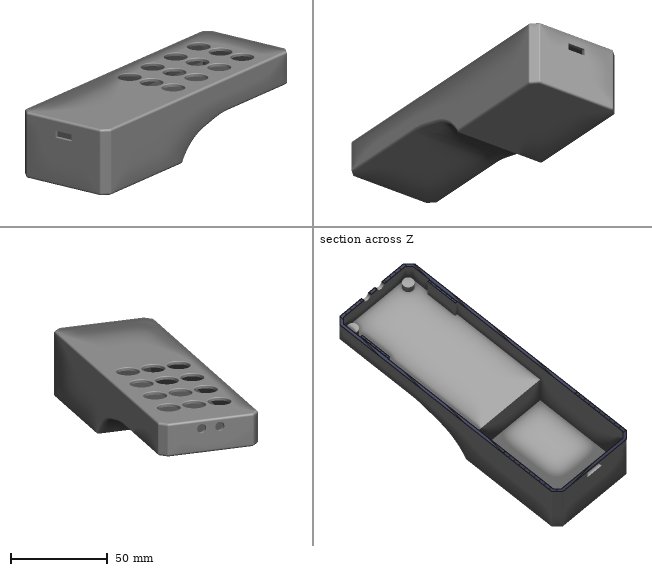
import cadquery as cq
import math

length = 161.25
width = 55.25
height = 36.0
wall = 2.0
lid_thickness = 1.75
corner_cut = 4.0
edge_radius = 1.25
corner_radius = 1.0

seam_z = 24.0
grip_z = 18.0
lid_split_y = -41.25
front_y = -length / 2
rear_y = length / 2
ceiling_z = height - lid_thickness
grip_floor_z = grip_z + wall
inner_front_y = front_y + wall
inner_side_x = width / 2 - wall

curve_bottom = (-14.25, 0.0)
curve_points = [(-8.0, 7.5), (0.0, 12.6), (11.5, 15.9)]
curve_top = (23.4, grip_z)
curve_bottom_angle = math.radians(58)
curve_top_angle = math.radians(5)

button_diameter = 12.02
button_rim_radius = 0.5
button_pitch_x = 14.0
button_pitch_y = 20.0
button_columns = 3
button_rows = 4
button_field_y = 26.0

slot_width = 10.25
slot_height = 3.75
slot_bottom_z = 26.0

window_diameter = 5.0
window_spacing = 10.0
window_z = 31.3

battery_pocket_rear_y = curve_bottom[0] - wall
post_diameter = 6.52
post_x = 20.5
post_y = 74.0
pad_thickness = 1.5
pad_length = 20.0
pad_y = 53.75


def box_between(x_limits, y_limits, z_limits):
    """Box spanning the given (low, high) limits along each axis."""
    limits = (x_limits, y_limits, z_limits)
    corner = tuple(low for low, high in limits)
    size = [high - low for low, high in limits]
    return cq.Workplane("XY").box(*size, centered=False).translate(corner)


def case_section(y_limits, z_limits):
    """Full-width box that cuts the case into its bodies."""
    return box_between((-width / 2, width / 2), y_limits, z_limits)


def plan_block(inset, bottom_z, top_z):
    """Block with the plan of the case, its sides moved inward by the inset."""
    cut = corner_cut - inset * (2 - math.sqrt(2))
    block = cq.Workplane("XY", origin=(0, 0, bottom_z))
    block = block.rect(width - 2 * inset, length - 2 * inset).extrude(top_z - bottom_z)
    return block.edges("|Z").chamfer(cut)


def direction(angle):
    return (math.cos(angle), math.sin(angle))


def is_lower_outline(edge):
    """True for an edge around the underside, but not for one that crosses it from side to side."""
    tolerance = 0.01
    end_z = max(edge.startPoint().z, edge.endPoint().z)
    crosses = edge.BoundingBox().xlen > width - corner_cut
    return end_z < grip_z + tolerance and not crosses


def make_envelope():
    """Solid outer form of the closed case, with rounded edges."""
    side_profile = (
        cq.Workplane("YZ", origin=(-width / 2, 0, 0))
        .moveTo(front_y, 0)
        .lineTo(*curve_bottom)
        .spline(
            [*curve_points, curve_top],
            tangents=[direction(curve_bottom_angle), direction(curve_top_angle)],
            includeCurrent=True,
        )
        .lineTo(rear_y, grip_z)
        .lineTo(rear_y, height)
        .lineTo(front_y, height)
        .close()
        .extrude(width)
    )
    block = plan_block(0, 0, height).edges("|Z").fillet(corner_radius)
    body = side_profile.intersect(block)
    body = body.faces(">Z").edges().fillet(edge_radius)
    lower_edges = [edge for edge in body.edges().vals() if is_lower_outline(edge)]
    return body.newObject(lower_edges).fillet(edge_radius)


def make_base(envelope):
    """Lower shell: shallow over the grip, deep in the battery section, with corner posts and side pads."""
    base = envelope.intersect(case_section((front_y, rear_y), (0, seam_z)))
    base = base.cut(plan_block(wall, grip_floor_z, seam_z))
    battery_zone = case_section((front_y, battery_pocket_rear_y), (0, seam_z))
    base = base.cut(plan_block(wall, wall, seam_z).intersect(battery_zone))
    for side in (-1, 1):
        post = cq.Workplane("XY", origin=(side * post_x, post_y, grip_floor_z))
        base = base.union(post.circle(post_diameter / 2).extrude(seam_z - grip_floor_z))
        pad_x = side * (inner_side_x - pad_thickness / 2)
        pad = cq.Workplane("XY", origin=(pad_x, pad_y, grip_floor_z))
        base = base.union(pad.rect(pad_thickness, pad_length).extrude(ceiling_z - grip_floor_z))
    return base


def make_lid_shell(envelope, y_limits):
    """Part of the hollow upper half of the case between two places along Y."""
    shell = envelope.intersect(case_section(y_limits, (seam_z, height)))
    return shell.cut(plan_block(wall, seam_z, ceiling_z))


def make_button_lid(envelope):
    """Long lid with a grid of round-rimmed button holes and two windows in its rear wall."""
    lid = make_lid_shell(envelope, (lid_split_y, rear_y))
    lid = (
        lid.cut(
            cq.Workplane("XY", origin=(0, button_field_y, ceiling_z))
            .rarray(button_pitch_x, button_pitch_y, button_columns, button_rows)
            .circle(button_diameter / 2)
            .extrude(lid_thickness)
        )
        .faces(">Z")
        .edges("%CIRCLE")
        .fillet(button_rim_radius)
    )
    windows = (
        cq.Workplane("XZ", origin=(0, rear_y, window_z))
        .rarray(window_spacing, 1, 2, 1)
        .circle(window_diameter / 2)
        .extrude(wall)
    )
    return lid.cut(windows)


def make_battery_lid(envelope):
    """Short lid with the cable slot through its front wall."""
    lid = make_lid_shell(envelope, (front_y, lid_split_y))
    slot = box_between(
        (-slot_width / 2, slot_width / 2),
        (front_y, inner_front_y),
        (slot_bottom_z, slot_bottom_z + slot_height),
    )
    return lid.cut(slot)


envelope = make_envelope()
base = make_base(envelope)
button_lid = make_button_lid(envelope)
battery_lid = make_battery_lid(envelope)

result = cq.Compound.makeCompound([base.val(), button_lid.val(), battery_lid.val()])